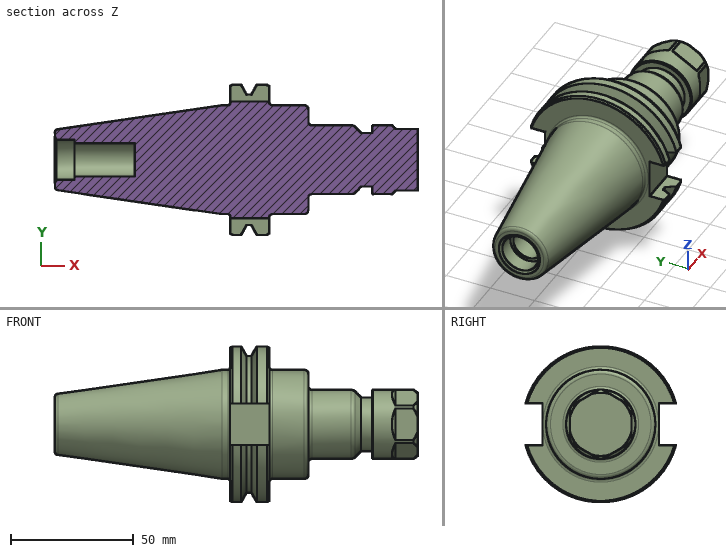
import cadquery as cq
import math


length = 147.7
taper_end = 68.1
taper_radius = 44.5 / 2
taper_slope = 7 / 24 / 2
small_end_fillet = 1.5
small_end_radius = taper_radius - taper_slope * taper_end

bore_radius = 13.5 / 2
bore_depth = 32.5
pilot_radius = 16.2 / 2
pilot_depth = 8.0
mouth_radius = 9.3
mouth_depth = 0.7

flange_start = 71.3
flange_width = 16.0
flange_end = flange_start + flange_width
flange_radius = 31.8
flange_chamfer = 1.0
flange_chamfer_drop = 0.6
groove_center = 79.0
groove_floor_width = 1.9
groove_floor_radius = 27.9
groove_wall_angle = 30.0
slot_width = 17.0
slot_floor = 23.8

body_end = 103.2
neck_fillet = 0.9
body_fillet = 1.3
body_edge_fillet = 1.8

nose_radius = 28.2 / 2
nose_end = 124.7
nose_cone_length = 3.1
nose_edge_fillet = 2.4
stem_radius = 22.0 / 2

nut_start = 129.1
nut_radius = nose_radius
nut_rear_chamfer = 0.5
nut_face_radius = 12.8
nut_front_chamfer = 1.8
flat_count = 6
flat_distance = 12.5
flat_start = 138.7

match_tolerance = 0.01


def turned(points):
    """Solid turned about the X axis from a closed outline of (x, radius) points."""
    return cq.Workplane("XY").polyline(points).close().revolve(360, (0, 0, 0), (1, 0, 0))


def circle_at(x, radius):
    """Test for the circular edge of this radius centered on the axis at x."""
    def matches(edge):
        if edge.geomType() != "CIRCLE":
            return False
        offset = edge.arcCenter().x - x
        return math.hypot(offset, edge.radius() - radius) < match_tolerance
    return matches


def make_shank():
    """Taper, flange blank, body, nose and the stem that carries the nut."""
    nose_cone_start = nose_end - nose_cone_length
    rim_radius = flange_radius - flange_chamfer_drop
    shank = turned([
        (0, 0),
        (0, small_end_radius),
        (taper_end, taper_radius),
        (flange_start, taper_radius),
        (flange_start, rim_radius),
        (flange_start + flange_chamfer, flange_radius),
        (flange_end - flange_chamfer, flange_radius),
        (flange_end, rim_radius),
        (flange_end, taper_radius),
        (body_end, taper_radius),
        (body_end, nose_radius),
        (nose_cone_start, nose_radius),
        (nose_end, stem_radius),
        (nut_start, stem_radius),
        (nut_start, 0),
    ])
    rounded_edges = [
        (0, small_end_radius, small_end_fillet),
        (flange_start, taper_radius, neck_fillet),
        (flange_end, taper_radius, body_fillet),
        (body_end, taper_radius, body_edge_fillet),
        (body_end, nose_radius, body_fillet),
        (nose_cone_start, nose_radius, nose_edge_fillet),
    ]
    for x, radius, fillet in rounded_edges:
        shank = shank.edges().filter(circle_at(x, radius)).fillet(fillet)
    return shank


def make_groove():
    floor_half = groove_floor_width / 2
    wall_run = (flange_radius - groove_floor_radius) * math.tan(math.radians(groove_wall_angle))
    top_half = floor_half + wall_run
    return turned([
        (groove_center - floor_half, groove_floor_radius),
        (groove_center + floor_half, groove_floor_radius),
        (groove_center + top_half, flange_radius),
        (groove_center - top_half, flange_radius),
    ])


def make_slot(side):
    """Driving slot through the flange on the +Y or -Y side."""
    slot_depth = flange_radius - slot_floor
    center = (flange_start + flange_width / 2, side * (slot_floor + slot_depth / 2), 0)
    return cq.Workplane("XY").box(flange_width, slot_depth, slot_width).translate(center)


def make_bore():
    return turned([
        (0, 0),
        (0, mouth_radius),
        (mouth_depth, pilot_radius),
        (pilot_depth, pilot_radius),
        (pilot_depth, bore_radius),
        (bore_depth, bore_radius),
        (bore_depth, 0),
    ])


def make_flat_cutter():
    """Tool for one wrench flat facing -Y, running out to the rear along a 45 degree slope."""
    flat_depth = nut_radius - flat_distance
    return (
        cq.Workplane("XY")
        .moveTo(flat_start, -flat_distance)
        .lineTo(length, -flat_distance)
        .lineTo(length, -nut_radius)
        .lineTo(flat_start - flat_depth, -nut_radius)
        .close()
        .extrude(nut_radius, both=True)
    )


def make_nut():
    nut = turned([
        (nut_start, 0),
        (nut_start, nut_radius - nut_rear_chamfer),
        (nut_start + nut_rear_chamfer, nut_radius),
        (length - nut_front_chamfer, nut_radius),
        (length, nut_face_radius),
        (length, 0),
    ])
    for index in range(flat_count):
        angle = index * 360 / flat_count
        nut = nut.cut(make_flat_cutter().rotate((0, 0, 0), (1, 0, 0), angle))
    return nut


result = make_shank().cut(make_groove()).cut(make_bore())
for side in (-1, 1):
    result = result.cut(make_slot(side))
result = result.union(make_nut())